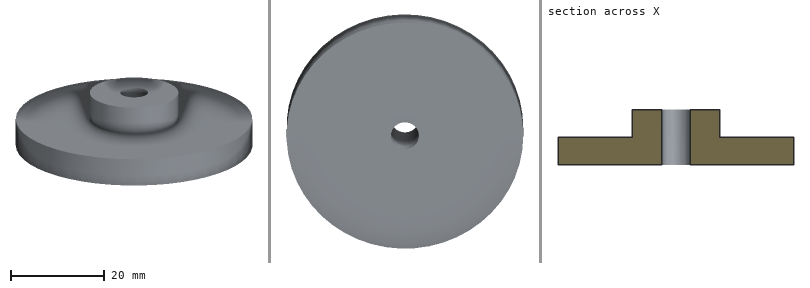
import cadquery as cq

disc_diameter = 50.8
disc_thickness = 6.0
hub_diameter = 19.0
hub_height = 6.0
bore_diameter = 6.0

disc = cq.Workplane("XY").circle(disc_diameter / 2).extrude(disc_thickness)

part = disc.faces(">Z").workplane().circle(hub_diameter / 2).extrude(hub_height)

result = part.faces(">Z").workplane().hole(bore_diameter)